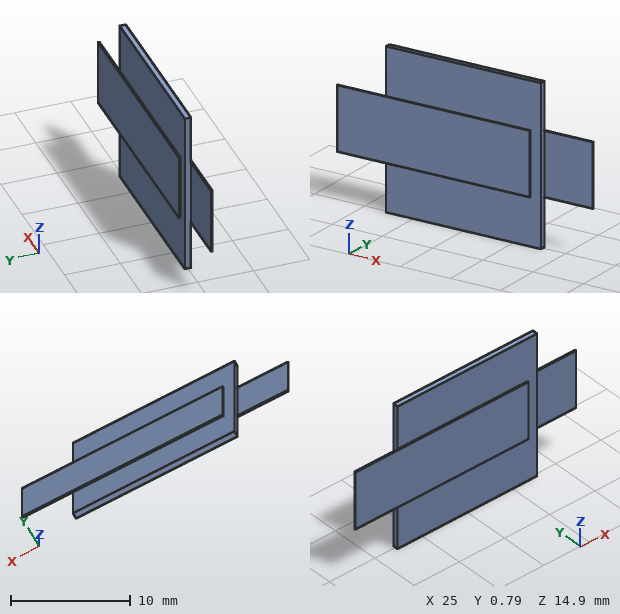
import cadquery as cq

overall_length = 25.0
body_length = 15.42
body_height = 14.9
body_thickness = 0.55
strip_length = 19.15
strip_height = 5.98
strip_thickness = 0.12

strip_offset_x = (overall_length - strip_length) / 2
strip_offset_y = (body_thickness + strip_thickness) / 2


def make_strip(side):
    """Flat strip bonded to one broad face; side is -1 for front-left, +1 for back-right."""
    strip = cq.Workplane("XY").box(strip_length, strip_thickness, strip_height)
    return strip.translate((side * strip_offset_x, side * strip_offset_y, 0))


result = cq.Workplane("XY").box(body_length, body_thickness, body_height)

for side in (-1, 1):
    result = result.union(make_strip(side))